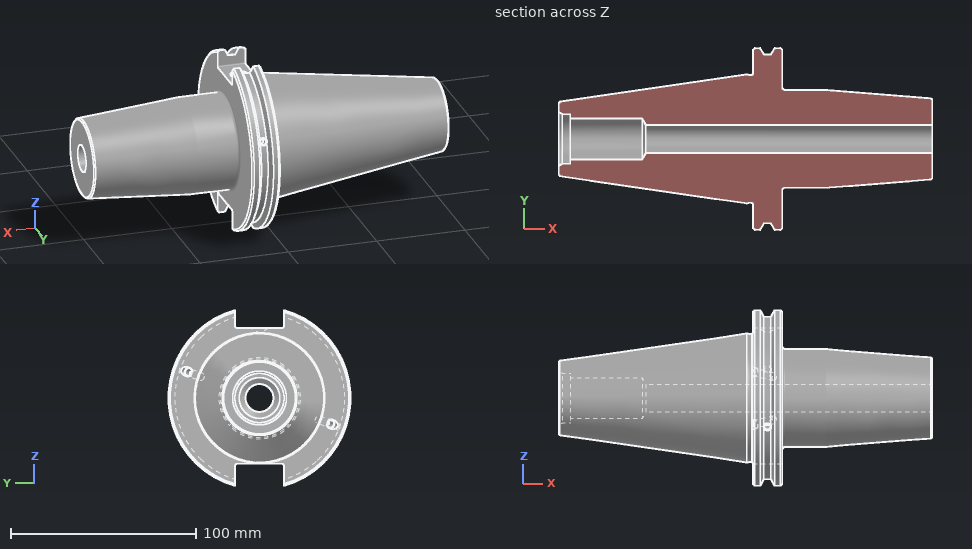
import math

import cadquery as cq


taper_length = 101.6
gauge_dia = 69.85
taper_rate = 7 / 24
shank_end_dia = gauge_dia - taper_length * taper_rate
shank_end_chamfer = 0.7
neck_dia = 69.25
neck_start_x = 1.3

flange_dia = 98.425
flange_start_x = 3.175
flange_end_x = 19.05
flange_chamfer = 1.0
neck_chamfer = 0.6

outer_clearance = 2.0

groove_center_x = 11.0
groove_floor_dia = 91.5
groove_floor_width = 3.7
groove_wall_angle = 30

nose_length = 100.0
nose_dia = 53.0
nose_fillet = 1.5
nose_taper_start_x = 42.5
nose_taper_angle = 4.5
nose_end_chamfer = 0.8

through_dia = 14.92
thread_bore_dia = 21.97
thread_bore_depth = 45.0
pilot_dia = 26.6
pilot_depth = 6.2
mouth_chamfer = 1.2
mouth_chamfer_angle = 30
bore_step_angle = 59

slot_width = 26.2
slot_fillet = 1.0
upper_slot_z = 37.8
lower_slot_z = -35.5
dimple_dia = 9.53
dimple_angle = 60

coolant_angle = 20
coolant_radius = 41.75
coolant_tilt = 35
coolant_mouth_dia = 5.0
coolant_mouth_depth = 1.6
coolant_dia = 4.2
coolant_length = 14.0
plug_dia = 3.24
plug_depth = 7.0
plug_mouth_dia = 4.13
plug_mouth_depth = 0.5


def make_body():
    """Taper shank, flange and nose turned as one solid outline."""
    shank_end_r = shank_end_dia / 2
    neck_r = neck_dia / 2
    flange_r = flange_dia / 2
    nose_r = nose_dia / 2
    fillet_r = nose_r + nose_fillet
    nose_end_r = nose_r - (nose_length - nose_taper_start_x) * math.tan(math.radians(nose_taper_angle))
    fillet_end_x = flange_end_x + nose_fillet
    fillet_mid = nose_fillet * math.sqrt(0.5)
    return (
        cq.Workplane("XY")
        .moveTo(-taper_length, 0)
        .lineTo(-taper_length, shank_end_r - shank_end_chamfer)
        .lineTo(-taper_length + shank_end_chamfer, shank_end_r + shank_end_chamfer * taper_rate / 2)
        .lineTo(0, gauge_dia / 2)
        .lineTo(neck_start_x, neck_r)
        .lineTo(flange_start_x - neck_chamfer, neck_r)
        .lineTo(flange_start_x, neck_r + neck_chamfer)
        .lineTo(flange_start_x, flange_r - flange_chamfer)
        .lineTo(flange_start_x + flange_chamfer, flange_r)
        .lineTo(flange_end_x - flange_chamfer, flange_r)
        .lineTo(flange_end_x, flange_r - flange_chamfer)
        .lineTo(flange_end_x, fillet_r)
        .threePointArc((fillet_end_x - fillet_mid, fillet_r - fillet_mid), (fillet_end_x, nose_r))
        .lineTo(nose_taper_start_x, nose_r)
        .lineTo(nose_length - nose_end_chamfer, nose_end_r)
        .lineTo(nose_length, nose_end_r - nose_end_chamfer)
        .lineTo(nose_length, 0)
        .close()
        .revolve(360, (0, 0, 0), (1, 0, 0))
    )


def make_groove():
    """Ring with slanted walls that cuts the V-groove."""
    floor_r = groove_floor_dia / 2
    outer_r = flange_dia / 2 + outer_clearance
    floor_half = groove_floor_width / 2
    outer_half = floor_half + (outer_r - floor_r) * math.tan(math.radians(groove_wall_angle))
    return (
        cq.Workplane("XY")
        .moveTo(groove_center_x - floor_half, floor_r)
        .lineTo(groove_center_x + floor_half, floor_r)
        .lineTo(groove_center_x + outer_half, outer_r)
        .lineTo(groove_center_x - outer_half, outer_r)
        .close()
        .revolve(360, (0, 0, 0), (1, 0, 0))
    )


def make_bore():
    """Stepped bore: chamfered pilot, thread bore, then a cone down to the through hole."""
    mouth_x = -taper_length
    pilot_r = pilot_dia / 2
    thread_r = thread_bore_dia / 2
    through_r = through_dia / 2
    step_length = (thread_r - through_r) / math.tan(math.radians(bore_step_angle))
    chamfer_length = mouth_chamfer / math.tan(math.radians(mouth_chamfer_angle))
    return (
        cq.Workplane("XY")
        .moveTo(mouth_x, 0)
        .lineTo(mouth_x, pilot_r + mouth_chamfer)
        .lineTo(mouth_x + chamfer_length, pilot_r)
        .lineTo(mouth_x + pilot_depth, pilot_r)
        .lineTo(mouth_x + pilot_depth, thread_r)
        .lineTo(mouth_x + thread_bore_depth, thread_r)
        .lineTo(mouth_x + thread_bore_depth + step_length, through_r)
        .lineTo(nose_length, through_r)
        .lineTo(nose_length, 0)
        .close()
        .revolve(360, (0, 0, 0), (1, 0, 0))
    )


def make_slot(floor_z):
    """Drive slot across the flange, open outward, with filleted floor corners."""
    side = math.copysign(1, floor_z)
    height = flange_dia / 2
    flange_width = flange_end_x - flange_start_x
    slot_center = (flange_start_x + flange_width / 2, 0, floor_z + side * height / 2)
    floor_face = "<Z" if floor_z > 0 else ">Z"
    return (
        cq.Workplane("XY")
        .box(flange_width, slot_width, height)
        .faces(floor_face)
        .edges("|X")
        .fillet(slot_fillet)
        .translate(slot_center)
    )


def make_dimple():
    """Conical dimple in the floor of the upper drive slot."""
    depth = dimple_dia / 2 / math.tan(math.radians(dimple_angle))
    cone = cq.Solid.makeCone(
        dimple_dia / 2, 0, depth, cq.Vector(groove_center_x, 0, upper_slot_z), cq.Vector(0, 0, -1)
    )
    return cq.Workplane(cone)


def make_coolant_holes():
    """One tilted coolant hole and its radial plug hole, lying in the XY plane at +Y."""
    tilt = math.radians(coolant_tilt)
    axis = cq.Vector(math.cos(tilt), -math.sin(tilt), 0)
    entry = cq.Vector(flange_start_x, coolant_radius, 0)
    start = entry - axis * outer_clearance
    mouth_length = outer_clearance + coolant_mouth_depth
    mouth = cq.Solid.makeCylinder(coolant_mouth_dia / 2, mouth_length, start, axis)
    channel = cq.Solid.makeCylinder(coolant_dia / 2, coolant_length, entry, axis)
    plug_axis = cq.Vector(0, 1, 0)
    floor_r = groove_floor_dia / 2
    plug_bottom = cq.Vector(groove_center_x, floor_r - plug_depth, 0)
    plug = cq.Solid.makeCylinder(plug_dia / 2, plug_depth, plug_bottom, plug_axis)
    plug_mouth_bottom = cq.Vector(groove_center_x, floor_r - plug_mouth_depth, 0)
    plug_mouth_length = plug_mouth_depth + outer_clearance
    plug_mouth = cq.Solid.makeCylinder(plug_mouth_dia / 2, plug_mouth_length, plug_mouth_bottom, plug_axis)
    holes = cq.Workplane(mouth)
    for cutter in (channel, plug, plug_mouth):
        holes = holes.union(cq.Workplane(cutter))
    return holes


result = make_body().cut(make_groove()).cut(make_bore())

for slot_floor_z in (upper_slot_z, lower_slot_z):
    result = result.cut(make_slot(slot_floor_z))
result = result.cut(make_dimple())

for turn in (0, 180):
    coolant_holes = make_coolant_holes().rotate((0, 0, 0), (1, 0, 0), coolant_angle + turn)
    result = result.cut(coolant_holes)